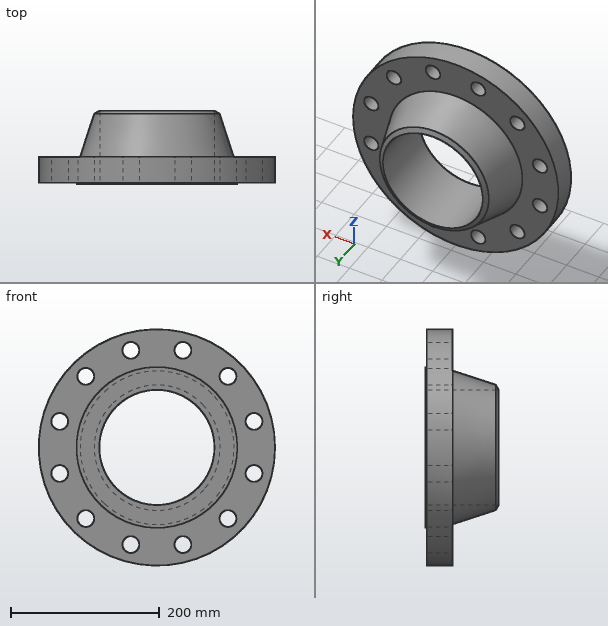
import cadquery as cq

flange_diameter = 317.5
flange_thickness = 35
raised_face_diameter = 216
raised_face_height = 2.0
bore_diameter = 154.3

overall_length = 98.7
hub_base_diameter = 206.5
hub_end_diameter = 168.5
weld_bevel_length = 4.0

bolt_hole_count = 12
bolt_hole_diameter = 22.2
bolt_circle_diameter = 270

flange_back = raised_face_height + flange_thickness
bevel_start = overall_length - weld_bevel_length


def make_body():
    """Revolve the half section (radius, axial position) about the Y axis."""
    section = [
        (bore_diameter / 2, 0),
        (raised_face_diameter / 2, 0),
        (raised_face_diameter / 2, raised_face_height),
        (flange_diameter / 2, raised_face_height),
        (flange_diameter / 2, flange_back),
        (hub_base_diameter / 2, flange_back),
        (hub_end_diameter / 2, bevel_start),
        (bore_diameter / 2, overall_length),
    ]
    return cq.Workplane("XY").polyline(section).close().revolve(360, (0, 0, 0), (0, 1, 0))


def make_bolt_holes():
    """Cutters through the flange, straddling the X and Z centerlines."""
    pitch_angle = 360 / bolt_hole_count
    return (
        cq.Workplane("XZ")
        .polarArray(bolt_circle_diameter / 2, pitch_angle / 2, 360, bolt_hole_count)
        .circle(bolt_hole_diameter / 2)
        .extrude(-flange_back)
    )


result = make_body().cut(make_bolt_holes())